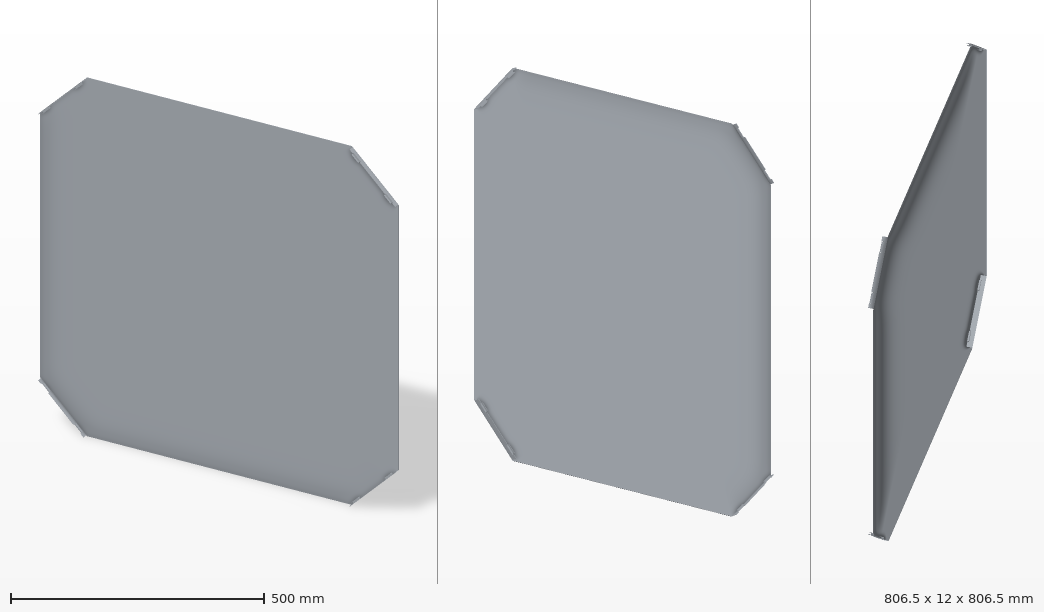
import cadquery as cq
import math

side = 806.5
depth = 12.0
sheet = 1.0
corner_leg = 106.0
flange_end_gap = 2.5

opening_length = 22.5
tab_gap = 1.0
tab_height = 3.0
opening_end_margin = 10.0
tab_step = 4.0

front = -depth
flange_length = corner_leg * math.sqrt(2) - 2 * flange_end_gap
flange_distance = (side - corner_leg) / math.sqrt(2)
tab_length = opening_length - 2 * tab_gap
tab_center = flange_length / 2 - opening_end_margin - opening_length / 2


def block(length, near, far, bottom, top):
    """Box centred on X, from near to far in Y and from bottom to top in Z."""
    size = (length, far - near, top - bottom)
    return cq.Workplane("XY").box(*size).translate((0, (near + far) / 2, (bottom + top) / 2))


def make_panel():
    outline = cq.Workplane("XZ").rect(side, side).extrude(sheet)
    return outline.edges("|Y").chamfer(corner_leg)


def make_flange():
    """Flange across the +Z side, to be turned onto each clipped corner."""
    outer = flange_distance
    inner = outer - sheet
    tab_root = front + tab_height
    flange = block(flange_length, front, 0, inner, outer)

    for x in (-tab_center, tab_center):
        opening = block(opening_length, front, tab_root, inner, outer)
        shelf = block(tab_length, tab_root, tab_root + sheet, inner - tab_step, outer)
        tab = block(tab_length, front, tab_root + sheet, inner - tab_step, outer - tab_step)
        stepped_tab = shelf.union(tab).translate((x, 0, 0))
        flange = flange.cut(opening.translate((x, 0, 0))).union(stepped_tab)
    return flange


result = make_panel()
corner_flange = make_flange()
for angle in (45, 135, 225, 315):
    result = result.union(corner_flange.rotate((0, 0, 0), (0, 1, 0), angle))